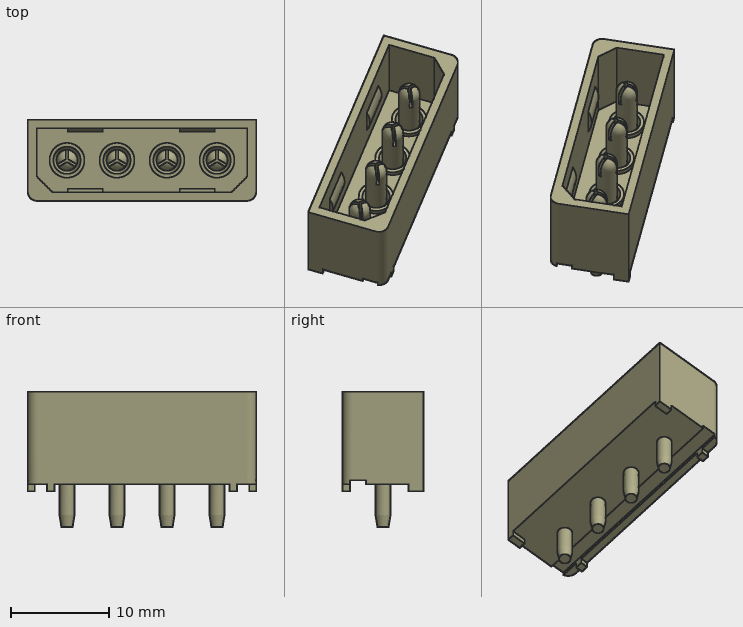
import cadquery as cq
import math

LENGTH = 23.26
WIDTH = 8.28
TOTAL_HEIGHT = 13.76
TAIL_LENGTH = 4.33
BODY_HEIGHT = TOTAL_HEIGHT - TAIL_LENGTH
CORNER_RADIUS = 1.0
FRONT_Y = -WIDTH / 2
BACK_Y = WIDTH / 2

SIDE_WALL = 0.9
END_WALL = 0.93
CAVITY_LENGTH = LENGTH - 2 * END_WALL
CAVITY_WIDTH = WIDTH - 2 * SIDE_WALL
FLOOR_Z = 1.4
KEY_CHAMFER = 1.6

BUMP_LENGTH = 3.56
BUMP_SPACING = 11.38
BUMP_SHIFT = -0.07
BUMP_HEIGHT = 3.0
BUMP_DEPTH = 0.36
BUMP_TOP_DROP = 2.83
BUMP_MID_Z = BODY_HEIGHT - BUMP_TOP_DROP - BUMP_HEIGHT / 2

FOOT_HEIGHT = 0.7
BACK_FOOT_LENGTH = 0.75
BACK_FOOT_WIDTH = 1.57
FRONT_FOOT_LENGTH = 0.8
FRONT_FOOT_WIDTH = 0.8
FRONT_FOOT_INSET = 1.96
GROOVE_WIDTH = 1.6
GROOVE_DEPTH = 0.42

PIN_COUNT = 4
PIN_PITCH = 5.08
PIN_RADIUS = 1.07
PIN_TIP_DROP = 1.95
PIN_TIP_Z = BODY_HEIGHT - PIN_TIP_DROP
PIN_SLOT_WIDTH = 0.3
PIN_SLOT_DEPTH = 2.0
PIN_SLOT_ANGLES = (90, 210, 330)
TAIL_RADIUS = 0.775
TAIL_TIP_RADIUS = 0.58
TAIL_TAPER_LENGTH = 1.2

COLLAR_RADIUS = 1.77
COLLAR_HEIGHT = 0.5
MOUTH_RADIUS = 1.39
MOUTH_DEPTH = 0.7


def block(x_min, y_min, z_min, length, width, height):
    """Box placed by its lowest corner."""
    return cq.Workplane("XY").box(length, width, height, centered=False).translate((x_min, y_min, z_min))


def make_shell():
    shell = cq.Workplane("XY").box(LENGTH, WIDTH, BODY_HEIGHT, centered=(True, True, False))
    shell = shell.edges("|Z and <Y").fillet(CORNER_RADIUS)
    cavity = (
        cq.Workplane("XY", origin=(0, 0, FLOOR_Z))
        .rect(CAVITY_LENGTH, CAVITY_WIDTH)
        .extrude(BODY_HEIGHT - FLOOR_Z)
        .edges("|Z and <Y")
        .chamfer(KEY_CHAMFER)
    )
    groove = block(-LENGTH / 2, FRONT_Y + FRONT_FOOT_WIDTH, 0, LENGTH, GROOVE_WIDTH, GROOVE_DEPTH)
    return shell.cut(cavity).cut(groove)


def make_bump(x_middle, side):
    """Rounded bump on the cavity wall at +Y (side = 1) or -Y (side = -1)."""
    wall_y = side * CAVITY_WIDTH / 2
    root_y = side * (CAVITY_WIDTH + SIDE_WALL) / 2
    z_low = BUMP_MID_Z - BUMP_HEIGHT / 2
    z_high = BUMP_MID_Z + BUMP_HEIGHT / 2
    return (
        cq.Workplane("YZ", origin=(x_middle - BUMP_LENGTH / 2, 0, 0))
        .moveTo(root_y, z_low)
        .lineTo(wall_y, z_low)
        .threePointArc((wall_y - side * BUMP_DEPTH, BUMP_MID_Z), (wall_y, z_high))
        .lineTo(root_y, z_high)
        .close()
        .extrude(BUMP_LENGTH)
    )


def make_right_feet():
    """Back corner foot and front foot at the +X end."""
    back = block(
        LENGTH / 2 - BACK_FOOT_LENGTH, BACK_Y - BACK_FOOT_WIDTH, -FOOT_HEIGHT,
        BACK_FOOT_LENGTH, BACK_FOOT_WIDTH, FOOT_HEIGHT,
    )
    front = block(
        LENGTH / 2 - FRONT_FOOT_INSET - FRONT_FOOT_LENGTH, FRONT_Y, -FOOT_HEIGHT,
        FRONT_FOOT_LENGTH, FRONT_FOOT_WIDTH, FOOT_HEIGHT,
    )
    return back.union(front)


def make_collar():
    """Collar on the cavity floor with a conical mouth that narrows to the pin."""
    rim_z = FLOOR_Z + COLLAR_HEIGHT
    mouth_z = rim_z - MOUTH_DEPTH
    collar = cq.Workplane("XY", origin=(0, 0, FLOOR_Z)).circle(COLLAR_RADIUS).extrude(COLLAR_HEIGHT)
    mouth = cq.Workplane(
        cq.Solid.makeCone(PIN_RADIUS, MOUTH_RADIUS, MOUTH_DEPTH, cq.Vector(0, 0, mouth_z))
    )
    return collar, mouth


def make_pin():
    """Round-nosed pin with a three-way split tip and a tapered solder tail."""
    dome_z = PIN_TIP_Z - PIN_RADIUS
    dome_mid = PIN_RADIUS * math.sqrt(0.5)
    shoulder_z = FLOOR_Z / 2
    pin = (
        cq.Workplane("XZ")
        .moveTo(0, -TAIL_LENGTH)
        .lineTo(TAIL_TIP_RADIUS, -TAIL_LENGTH)
        .lineTo(TAIL_RADIUS, TAIL_TAPER_LENGTH - TAIL_LENGTH)
        .lineTo(TAIL_RADIUS, shoulder_z)
        .lineTo(PIN_RADIUS, shoulder_z)
        .lineTo(PIN_RADIUS, dome_z)
        .threePointArc((dome_mid, dome_z + dome_mid), (0, PIN_TIP_Z))
        .close()
        .revolve(360, (0, 0, 0), (0, 1, 0))
    )
    slot = block(
        0, -PIN_SLOT_WIDTH / 2, PIN_TIP_Z - PIN_SLOT_DEPTH,
        2 * PIN_RADIUS, PIN_SLOT_WIDTH, PIN_SLOT_DEPTH,
    )
    for angle in PIN_SLOT_ANGLES:
        pin = pin.cut(slot.rotate((0, 0, 0), (0, 0, 1), angle))
    return pin


part = make_shell()

right_feet = make_right_feet()
part = part.union(right_feet).union(right_feet.mirror("YZ"))

for x_offset in (-BUMP_SPACING / 2, BUMP_SPACING / 2):
    for wall_side in (-1, 1):
        part = part.union(make_bump(BUMP_SHIFT + x_offset, wall_side))

collar_body, collar_mouth = make_collar()
contact_pin = make_pin()
for index in range(PIN_COUNT):
    position = ((index - (PIN_COUNT - 1) / 2) * PIN_PITCH, 0, 0)
    part = part.union(collar_body.translate(position))
    part = part.cut(collar_mouth.translate(position))
    part = part.union(contact_pin.translate(position))

result = part